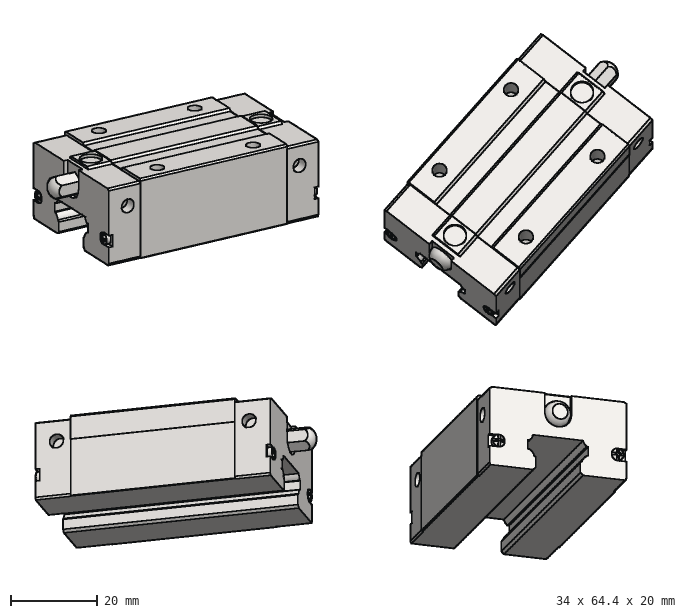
import cadquery as cq
import math


OVERALL_LENGTH = 64.4

BLOCK_WIDTH = 34.0
BLOCK_LENGTH = 39.8
BLOCK_HEIGHT = 20.0
GROOVE_FLOOR = 19.45
PAD_INNER_EDGE = 8.9
GROOVE_SLOPE = 0.61
TOP_CHAMFER = 0.45
BOTTOM_CHAMFER = 0.25
RELIEF_HEIGHT = 14.05
RELIEF_DEPTH = 0.1

RIDGE_BASE_HALF = 4.2
RIDGE_TOP_HALF = RIDGE_BASE_HALF - GROOVE_SLOPE
CAP_RIDGE_TOP = 19.8

CAP_WIDTH = 33.6
CAP_HEIGHT = 19.25
CAP_LENGTH = 56.9
CAP_RIDGE_LENGTH = 52.7
CAP_CHAMFER_RUN = 0.65
CAP_CHAMFER_RISE = 0.4
CAP_BOTTOM_RUN = 0.25
CAP_BOTTOM_RISE = 0.6

CHANNEL_TOP = 8.55
CHANNEL_TOP_HALF = 6.1
CHANNEL_WIDE_HALF = 7.4
CHANNEL_MOUTH_HALF = 5.5
CHANNEL_MOUTH_CHAMFER = 0.65
MOUTH_TOP_Z = 3.1
LOWER_LIP_START = (5.85, 3.5)
LOWER_LIP_MIDDLE = (6.4, 4.4)
LOWER_LIP_END = (7.1, 4.95)
WIDE_BOTTOM_Z = 5.0
WIDE_TOP_Z = 7.2
UPPER_LIP_START = (7.0, WIDE_TOP_Z)
UPPER_LIP_MIDDLE = (6.5, 7.7)

MOUNT_SPACING = 26.0
MOUNT_DIAMETER = 3.35
MOUNT_DEPTH = 6.0
DRILL_POINT_ANGLE = 118

CAP_MIDDLE = (BLOCK_LENGTH + CAP_RIDGE_LENGTH) / 4
TOP_PORT_DIAMETER = 5.3
TOP_PORT_DEPTH = 0.8
SIDE_PORT_DIAMETER = 3.35
SIDE_PORT_Y = 23.3
SIDE_PORT_HEIGHT = 14.0
SIDE_PORT_DEPTH = 3.0

RECESS_DEPTH = 1.0
RECESS_FLOOR = CAP_LENGTH / 2 - RECESS_DEPTH
LUBE_HEIGHT = 14.55
LUBE_RECESS_RADIUS = 3.3

NIPPLE_TIP = 34.5
NIPPLE_ACROSS_FLATS = 4.95
HEXAGON_HALF_ANGLE = 30
NIPPLE_DOME_RADIUS = 3.0
NIPPLE_FLAT_RADIUS = 0.225
PLUG_END = OVERALL_LENGTH - NIPPLE_TIP
PLUG_RADIUS = 3.2
PLUG_RIM = 0.2
PLUG_FLAT_RADIUS = 1.85

SCREW_X = 14.55
SCREW_HEIGHT = 6.1
SCREW_RADIUS = 1.5
SCREW_RIM = 28.6
SCREW_CROWN = 29.05
SCREW_SLOT_WIDTH = 0.5

EMBED = 0.3


def centred_along_y(outline, length):
    return outline.extrude(length / 2, both=True)


def mirrored_outline(right_half):
    """Closed XZ outline from its +X half, listed from the bottom up."""
    left_half = [(-x, z) for x, z in reversed(right_half)]
    return cq.Workplane("XZ").polyline(right_half + left_half).close()


def cylinder_y(x, z, radius, y_start, y_end):
    return (
        cq.Workplane("XZ", origin=(x, y_start, z))
        .circle(radius)
        .extrude(y_start - y_end)
    )


def box_y(x_min, x_max, z_min, z_max, y_min, y_max):
    return cq.Workplane("XY").box(
        x_max - x_min, y_max - y_min, z_max - z_min, centered=False
    ).translate((x_min, y_min, z_min))


def make_block():
    half = BLOCK_WIDTH / 2
    block = centred_along_y(
        mirrored_outline([
            (half - BOTTOM_CHAMFER, 0),
            (half, BOTTOM_CHAMFER),
            (half, BLOCK_HEIGHT - TOP_CHAMFER),
            (half - TOP_CHAMFER, BLOCK_HEIGHT),
            (PAD_INNER_EDGE, BLOCK_HEIGHT),
            (PAD_INNER_EDGE - GROOVE_SLOPE, GROOVE_FLOOR),
            (RIDGE_BASE_HALF, GROOVE_FLOOR),
            (RIDGE_TOP_HALF, BLOCK_HEIGHT),
        ]),
        BLOCK_LENGTH,
    )
    half_length = BLOCK_LENGTH / 2
    relief = box_y(-half, -half + RELIEF_DEPTH, 0, RELIEF_HEIGHT, -half_length, half_length)
    return block.cut(relief)


def make_end_caps():
    half = CAP_WIDTH / 2
    caps = centred_along_y(
        mirrored_outline([
            (half - CAP_BOTTOM_RUN, 0),
            (half, CAP_BOTTOM_RISE),
            (half, CAP_HEIGHT - CAP_CHAMFER_RISE),
            (half - CAP_CHAMFER_RUN, CAP_HEIGHT),
        ]),
        CAP_LENGTH,
    )
    ridge = centred_along_y(
        mirrored_outline([
            (RIDGE_BASE_HALF, CAP_HEIGHT),
            (RIDGE_TOP_HALF, CAP_RIDGE_TOP),
        ]),
        CAP_RIDGE_LENGTH,
    )
    return caps.union(ridge)


def make_channel():
    """Rail passage; rounded lips of the carriage reach in above and below its widest part."""
    mouth_edge = CHANNEL_MOUTH_HALF + CHANNEL_MOUTH_CHAMFER
    half_outline = (
        cq.Workplane("XZ")
        .moveTo(0, 0)
        .lineTo(mouth_edge, 0)
        .lineTo(CHANNEL_MOUTH_HALF, CHANNEL_MOUTH_CHAMFER)
        .lineTo(CHANNEL_MOUTH_HALF, MOUTH_TOP_Z)
        .lineTo(*LOWER_LIP_START)
        .threePointArc(LOWER_LIP_MIDDLE, LOWER_LIP_END)
        .lineTo(CHANNEL_WIDE_HALF, WIDE_BOTTOM_Z)
        .lineTo(CHANNEL_WIDE_HALF, WIDE_TOP_Z)
        .lineTo(*UPPER_LIP_START)
        .threePointArc(UPPER_LIP_MIDDLE, (CHANNEL_TOP_HALF, CHANNEL_TOP))
        .lineTo(0, CHANNEL_TOP)
        .close()
    )
    half_channel = centred_along_y(half_outline, CAP_LENGTH)
    return half_channel.union(half_channel.mirror("YZ"))


def make_mounting_holes():
    radius = MOUNT_DIAMETER / 2
    point_depth = radius / math.tan(math.radians(DRILL_POINT_ANGLE / 2))
    hole = (
        cq.Workplane("XZ")
        .polyline([
            (0, 0),
            (radius, 0),
            (radius, -MOUNT_DEPTH),
            (0, -MOUNT_DEPTH - point_depth),
        ])
        .close()
        .revolve(360, (0, 0), (0, 1))
        .translate((0, 0, BLOCK_HEIGHT))
    )
    holes = cq.Workplane("XY")
    for x in (-MOUNT_SPACING / 2, MOUNT_SPACING / 2):
        for y in (-MOUNT_SPACING / 2, MOUNT_SPACING / 2):
            holes = holes.add(hole.translate((x, y, 0)))
    return holes.combine()


def make_oil_ports():
    ports = cq.Workplane("XY")
    for end in (-1, 1):
        ports = ports.add(
            cq.Workplane("XY", origin=(0, end * CAP_MIDDLE, CAP_RIDGE_TOP))
            .circle(TOP_PORT_DIAMETER / 2)
            .extrude(-TOP_PORT_DEPTH)
        )
        for side in (-1, 1):
            ports = ports.add(
                cq.Workplane("YZ")
                .workplane(offset=side * CAP_WIDTH / 2)
                .center(end * SIDE_PORT_Y, SIDE_PORT_HEIGHT)
                .circle(SIDE_PORT_DIAMETER / 2)
                .extrude(-side * SIDE_PORT_DEPTH)
            )
    return ports.combine()


def make_end_recesses():
    """Recesses of the +Y end: a U open at the top, and two slots open at the sides."""
    end = CAP_LENGTH / 2
    recesses = cylinder_y(0, LUBE_HEIGHT, LUBE_RECESS_RADIUS, RECESS_FLOOR, end)
    recesses = recesses.union(
        box_y(-LUBE_RECESS_RADIUS, LUBE_RECESS_RADIUS, LUBE_HEIGHT, CAP_HEIGHT, RECESS_FLOOR, end)
    )
    screw_slot = cylinder_y(SCREW_X, SCREW_HEIGHT, SCREW_RADIUS, RECESS_FLOOR, end).union(
        box_y(
            SCREW_X, CAP_WIDTH / 2,
            SCREW_HEIGHT - SCREW_RADIUS, SCREW_HEIGHT + SCREW_RADIUS,
            RECESS_FLOOR, end,
        )
    )
    return recesses.union(screw_slot).union(screw_slot.mirror("YZ"))


def make_screws():
    """Pair of domed, cross-slotted screw heads at the +Y end."""
    base = RECESS_FLOOR - EMBED
    dome_height = SCREW_CROWN - SCREW_RIM
    dome_radius = (SCREW_RADIUS**2 + dome_height**2) / (2 * dome_height)
    dome = cq.Workplane("XY").sphere(dome_radius).translate(
        (SCREW_X, SCREW_CROWN - dome_radius, SCREW_HEIGHT)
    )
    head = cylinder_y(SCREW_X, SCREW_HEIGHT, SCREW_RADIUS, base, SCREW_CROWN).intersect(dome)
    for width, height in (
        (2 * SCREW_RADIUS, SCREW_SLOT_WIDTH),
        (SCREW_SLOT_WIDTH, 2 * SCREW_RADIUS),
    ):
        slot = cq.Workplane("XY").box(width, 2 * dome_height, height)
        head = head.cut(slot.translate((SCREW_X, SCREW_CROWN, SCREW_HEIGHT)))
    return head.union(head.mirror("YZ"))


def make_nipple():
    """Hexagonal grease nipple with a spherical tip pointing to -Y."""
    base = RECESS_FLOOR - EMBED
    corner_diameter = NIPPLE_ACROSS_FLATS / math.cos(math.radians(HEXAGON_HALF_ANGLE))
    hexagon = (
        cq.Workplane("XZ", origin=(0, -base, LUBE_HEIGHT))
        .transformed(rotate=(0, 0, HEXAGON_HALF_ANGLE))
        .polygon(6, corner_diameter)
        .extrude(NIPPLE_TIP - base)
    )
    dome_centre = NIPPLE_TIP - math.sqrt(NIPPLE_DOME_RADIUS**2 - NIPPLE_FLAT_RADIUS**2)
    envelope = cylinder_y(0, LUBE_HEIGHT, NIPPLE_DOME_RADIUS, -dome_centre, -base).union(
        cq.Workplane("XY").sphere(NIPPLE_DOME_RADIUS).translate((0, -dome_centre, LUBE_HEIGHT))
    )
    return hexagon.intersect(envelope)


def make_plug():
    """Round plug at the +Y end, its edge rounded tangent to the short rim."""
    base = RECESS_FLOOR - EMBED
    rim = RECESS_FLOOR + PLUG_RIM
    return (
        cq.Workplane("XY")
        .moveTo(0, base)
        .lineTo(PLUG_RADIUS, base)
        .lineTo(PLUG_RADIUS, rim)
        .tangentArcPoint((PLUG_FLAT_RADIUS, PLUG_END), relative=False)
        .lineTo(0, PLUG_END)
        .close()
        .revolve(360, (0, 0), (0, 1))
        .translate((0, 0, LUBE_HEIGHT))
    )


recesses = make_end_recesses()
screws = make_screws()

carriage = make_block().union(make_end_caps())
carriage = carriage.cut(make_channel())
carriage = carriage.cut(make_mounting_holes())
carriage = carriage.cut(make_oil_ports())
carriage = carriage.cut(recesses).cut(recesses.mirror("XZ"))
carriage = carriage.union(screws).union(screws.mirror("XZ"))
result = carriage.union(make_nipple()).union(make_plug())